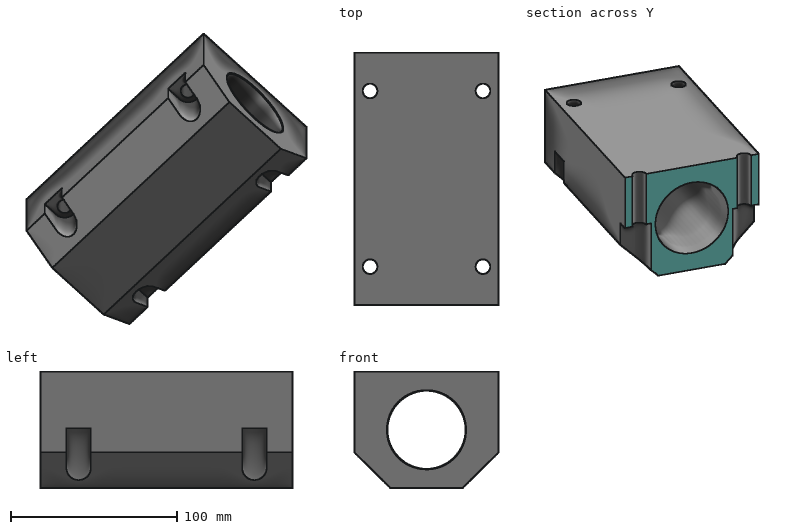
import cadquery as cq

width = 87.0
length = 152
height = 70.0
corner_run = 21.7
corner_rise = 21.5

bore_diameter = 47.0
bore_chamfer = 0.5

hole_diameter = 8.7
hole_spacing_x = 68.0
hole_spacing_y = 105.8
pocket_width = 14.7
pocket_roof = 0.9

half_width = width / 2
half_height = height / 2


def make_block():
    """Rectangular block with its two lower long edges bevelled."""
    outline = [
        (-half_width, half_height),
        (half_width, half_height),
        (half_width, corner_rise - half_height),
        (half_width - corner_run, -half_height),
        (corner_run - half_width, -half_height),
        (-half_width, corner_rise - half_height),
    ]
    return cq.Workplane("XZ").polyline(outline).close().extrude(length / 2, both=True)


def cut_bore(body):
    """Through bore with a small chamfer at both mouths."""
    bored = body.faces("<Y").workplane(centerOption="CenterOfBoundBox").hole(bore_diameter)
    return bored.faces("<Y or >Y").edges("%CIRCLE").chamfer(bore_chamfer)


def make_pocket(side, y):
    """Pocket with a round inner end, open to the side and to the bottom."""
    x = side * hole_spacing_x / 2
    depth = pocket_roof + half_height
    base = cq.Workplane("XY", origin=(x, y, -half_height))
    round_end = base.circle(pocket_width / 2).extrude(depth)
    open_run = base.center(side * pocket_width / 2, 0).rect(pocket_width, pocket_width).extrude(depth)
    return round_end.union(open_run)


result = cut_bore(make_block())
result = (
    result.faces(">Z").workplane(centerOption="CenterOfBoundBox")
    .rect(hole_spacing_x, hole_spacing_y, forConstruction=True)
    .vertices().hole(hole_diameter)
)
for side in (-1, 1):
    for y in (-hole_spacing_y / 2, hole_spacing_y / 2):
        result = result.cut(make_pocket(side, y))